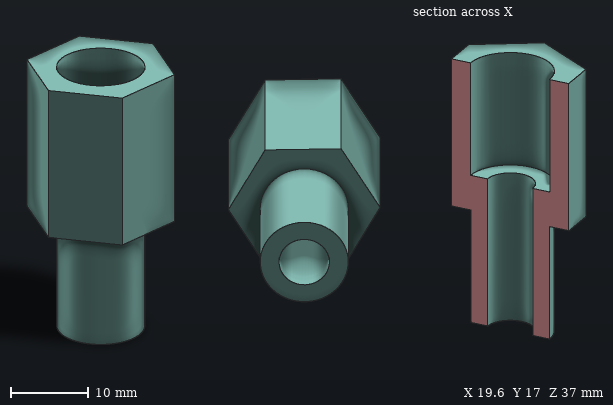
import cadquery as cq
import math

ACROSS_FLATS = 17.0
HEX_LENGTH = 21.0
THREAD_DIAMETER = 11.4
THREAD_LENGTH = 16.0
BORE_DIAMETER = 6.5

ACROSS_CORNERS = ACROSS_FLATS / math.cos(math.pi / 6)
TOTAL_LENGTH = HEX_LENGTH + THREAD_LENGTH


def cylinder(diameter, length, base_z):
    """Vertical cylinder on the part axis, rising from base_z."""
    return cq.Workplane("XY", origin=(0, 0, base_z)).circle(diameter / 2).extrude(length)


def hex_head():
    """Hexagonal body with two corners on the X axis, standing on top of the stem."""
    return (
        cq.Workplane("XY", origin=(0, 0, THREAD_LENGTH))
        .polygon(6, ACROSS_CORNERS)
        .extrude(HEX_LENGTH)
    )


stem = cylinder(THREAD_DIAMETER, THREAD_LENGTH, 0)

socket = cylinder(THREAD_DIAMETER, THREAD_LENGTH, TOTAL_LENGTH - THREAD_LENGTH)

through_bore = cylinder(BORE_DIAMETER, TOTAL_LENGTH, 0)

result = hex_head().union(stem).cut(socket).cut(through_bore)